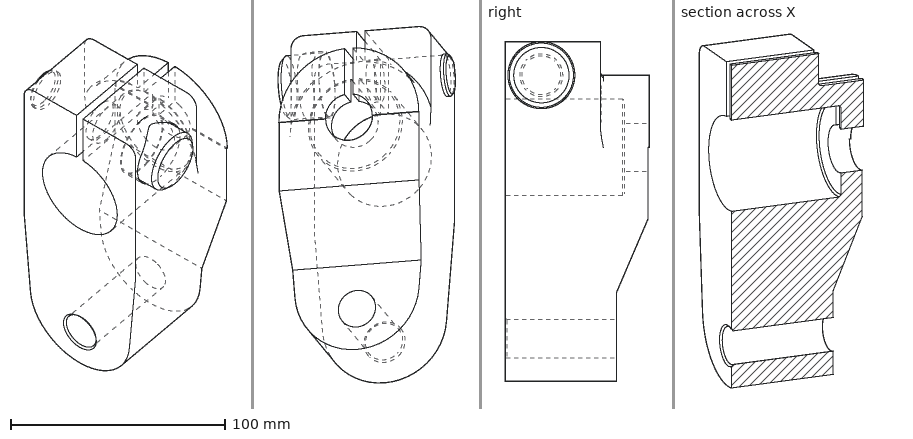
import cadquery as cq
import math

height = 158.8
half_width = 33.75
end_radius = 30.0
taper_top_z = 75.9
top_fillet = 6.0

boss_depth = 67.5
body_depth = 66.9
clamp_depth = 44.6
foot_depth = 52.1
foot_top_z = 41.5

bore_z = 109.4
bore_diameter = 45.3
bore_depth = 55.9
bore_floor_chamfer = 1.0
through_diameter = 22.5
boss_radius = half_width
boss_root_fillet = 1.3
slot_width = 4.0

pivot_z = 20.0
pivot_diameter = 18.0
pivot_chamfer = 1.0

screw_y = 17.0
screw_z = 143.0
screw_diameter = 20.0
screw_tip_length = 2.5
screw_tip_chamfer = 1.0
head_diameter = 30.0
head_length = 10.0
head_chamfer = 2.0
seat_diameter = 31.3
seat_depth = 10.3


def y_cylinder(diameter, z, y_start, y_end):
    """Cylinder along +Y, centred on x = 0."""
    axis_start = cq.Vector(0, y_start, z)
    solid = cq.Solid.makeCylinder(diameter / 2, y_end - y_start, axis_start, cq.Vector(0, 1, 0))
    return cq.Workplane(obj=solid)


def x_cylinder(diameter, x_start, x_end):
    """Cylinder along +X on the screw axis."""
    axis_start = cq.Vector(x_start, screw_y, screw_z)
    solid = cq.Solid.makeCylinder(diameter / 2, x_end - x_start, axis_start, cq.Vector(1, 0, 0))
    return cq.Workplane(obj=solid)


def make_arm():
    """Tapered outline with a round end, trimmed to the stepped side profile."""
    rise = taper_top_z - end_radius
    corner_angle = math.atan2(rise, half_width)
    tangent_angle = corner_angle - math.acos(end_radius / math.hypot(half_width, rise))
    tangent_x = end_radius * math.cos(tangent_angle)
    tangent_z = end_radius + end_radius * math.sin(tangent_angle)
    outline = (
        cq.Workplane("XZ")
        .moveTo(-half_width, height)
        .lineTo(half_width, height)
        .lineTo(half_width, taper_top_z)
        .lineTo(tangent_x, tangent_z)
        .threePointArc((0, 0), (-tangent_x, tangent_z))
        .lineTo(-half_width, taper_top_z)
        .close()
        .extrude(-body_depth)
        .edges("|Y and >Z")
        .fillet(top_fillet)
    )
    side_profile = (
        cq.Workplane("YZ")
        .polyline([
            (0, 0),
            (foot_depth, 0),
            (foot_depth, foot_top_z),
            (body_depth, taper_top_z),
            (body_depth, bore_z),
            (clamp_depth, bore_z),
            (clamp_depth, height),
            (0, height),
        ])
        .close()
        .extrude(half_width, both=True)
    )
    return outline.intersect(side_profile)


def make_boss():
    """Upper half of the round boss, with a concave fillet at its root."""
    root_radius = boss_radius + boss_root_fillet
    fillet_end_y = clamp_depth + boss_root_fillet
    mid_offset = boss_root_fillet * math.sqrt(0.5)
    boss = (
        cq.Workplane("XY")
        .moveTo(0, clamp_depth)
        .lineTo(root_radius, clamp_depth)
        .threePointArc((root_radius - mid_offset, fillet_end_y - mid_offset), (boss_radius, fillet_end_y))
        .lineTo(boss_radius, boss_depth)
        .lineTo(0, boss_depth)
        .close()
        .revolve(360, (0, 0), (0, 1))
        .translate((0, 0, bore_z))
    )
    upper_half = cq.Workplane("XY", origin=(0, 0, bore_z)).rect(2 * half_width, 2 * boss_depth)
    return boss.intersect(upper_half.extrude(height - bore_z))


def make_shaft_bore():
    """Wide bore from the front with a chamfered floor, and a narrower hole through the back."""
    wide = y_cylinder(bore_diameter, bore_z, 0, bore_depth).faces(">Y").chamfer(bore_floor_chamfer)
    return wide.union(y_cylinder(through_diameter, bore_z, 0, boss_depth))


def make_slot():
    """Clamping slot from the bore up through the top."""
    slot = cq.Workplane("XY", origin=(0, 0, bore_z)).rect(slot_width, 2 * boss_depth)
    return slot.extrude(height - bore_z)


def make_screw():
    """Screw crossing the slot, with its tip at -X and its head at +X."""
    shank = x_cylinder(screw_diameter, -half_width - screw_tip_length, half_width)
    shank = shank.faces("<X").chamfer(screw_tip_chamfer)
    head = x_cylinder(head_diameter, half_width - seat_depth, half_width + head_length)
    return shank.union(head.faces(">X").chamfer(head_chamfer))


def make_head_seat():
    """Counterbore around the screw head, slightly wider than the head."""
    return x_cylinder(seat_diameter, half_width - seat_depth, half_width)


pivot_hole = y_cylinder(pivot_diameter, pivot_z, 0, foot_depth)
arm = make_arm().union(make_boss()).cut(make_shaft_bore()).cut(make_slot()).cut(pivot_hole)

pivot_rim = cq.selectors.BoxSelector(
    (-pivot_diameter, -pivot_chamfer, pivot_z - pivot_diameter / 4),
    (pivot_diameter, pivot_chamfer, pivot_z + pivot_diameter / 4),
)
arm = arm.faces("<Y").edges("%CIRCLE").edges(pivot_rim).chamfer(pivot_chamfer)

result = arm.cut(make_head_seat()).union(make_screw())